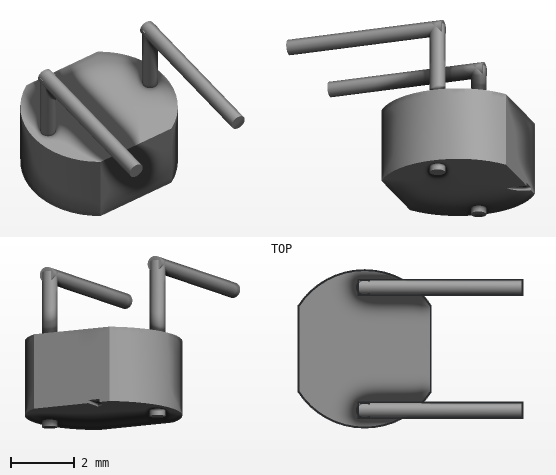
import cadquery as cq

housing_diameter = 5.0
housing_width = 4.195
housing_height = 2.4

marker_depth = 0.1
marker_radius = 0.725
marker_arc_y = -0.28
marker_wall_y = -0.59

lead_diameter = 0.5
lead_pitch = 3.9
post_protrusion = 0.2
overall_length = 7.1
overall_height = 5.14
arm_top = overall_height - post_protrusion
arm_rise_above_post = 0.15
post_top = arm_top - arm_rise_above_post
arm_start = -0.2
arm_end = overall_length - housing_width / 2

lead_places = [-lead_pitch / 2, lead_pitch / 2]


def make_post(y):
    """Round upright post that passes through the housing and sticks out below it."""
    return (
        cq.Workplane("XY", origin=(0, y, -post_protrusion))
        .circle(lead_diameter / 2)
        .extrude(post_top + post_protrusion)
    )


def make_arm(y):
    """Round horizontal arm, recessed from below where the top of the post enters it."""
    arm = (
        cq.Workplane("YZ", origin=(arm_start, y, arm_top - lead_diameter / 2))
        .circle(lead_diameter / 2)
        .extrude(arm_end - arm_start)
    )
    return arm.cut(make_post(y))


def make_marker_recess():
    """Pocket volume: the part of a disc, centred on the -X flat, that lies beyond the straight wall."""
    flat_x = -housing_width / 2
    disc = cq.Workplane("XY").center(flat_x, marker_arc_y).circle(marker_radius).extrude(marker_depth)
    beyond_wall = (
        cq.Workplane("XY", origin=(flat_x, marker_wall_y, 0))
        .rect(2 * marker_radius, -marker_radius, centered=(True, False))
        .extrude(marker_depth)
    )
    return disc.intersect(beyond_wall)


def make_housing():
    """Flatted round block with the marker recess and one through hole for each post."""
    flats = cq.Workplane("XY").rect(housing_width, housing_diameter).extrude(housing_height)
    block = cq.Workplane("XY").circle(housing_diameter / 2).extrude(housing_height).intersect(flats)
    block = block.cut(make_marker_recess())
    for y in lead_places:
        block = block.cut(make_post(y))
    return block


housing = make_housing()
posts = [make_post(y).val() for y in lead_places]
arms = [make_arm(y).solids().val() for y in lead_places]

result = cq.Compound.makeCompound([housing.val(), *posts, *arms])